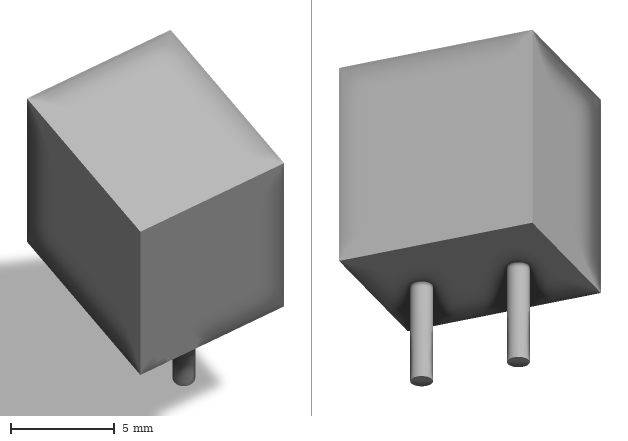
import cadquery as cq

housing_length = 10.15
housing_width = 8.2
total_height = 15.5
pin_length = 5.1
housing_height = total_height - pin_length

pin_diameter = 1.1
pin_pitch = 5.08
pin_positions = [-pin_pitch / 2, pin_pitch / 2]


def make_housing():
    """Plain rectangular block standing on the XY plane."""
    return cq.Workplane("XY").box(
        housing_length, housing_width, housing_height, centered=(True, True, False)
    )


def make_pin(x):
    """Round pin hanging from the underside of the housing."""
    return cq.Workplane("XY").center(x, 0).circle(pin_diameter / 2).extrude(-pin_length)


housing = make_housing()
pins = [make_pin(x) for x in pin_positions]

result = cq.Compound.makeCompound([housing.val(), *[pin.val() for pin in pins]])